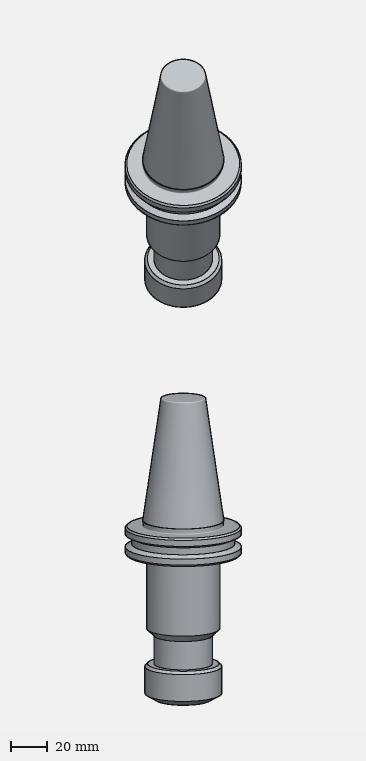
import cadquery as cq

total_height = 168.4
nut_top = 20.0
body_cone_bottom = 35.9
body_cone_top = 39.7
flange_bottom = 81.0
flange_top = 96.8
gauge_height = 100.0
groove_center = 88.9

nut_radius = 21.0
nut_face_radius = 15.0
neck_radius = 16.0
body_radius = 20.0
flange_radius = 63.5 / 2
groove_radius = 28.1
gauge_radius = 22.2
collar_radius = 21.9

groove_floor_width = 3.9
groove_mouth_width = 7.0
taper_ratio = 7 / 24
nut_face_bevel_height = 3.5
nut_top_chamfer = 1.5
flange_chamfer = 1.0
body_fillet = 2.0
tip_fillet = 0.7
collar_fillet = 0.5

taper_length = total_height - gauge_height
tip_radius = gauge_radius - taper_length * taper_ratio / 2


def revolve_profile(points):
    """Turn (radius, height) points into a solid of revolution about Z."""
    profile = cq.Workplane("XZ").polyline(points).close()
    return profile.revolve(360, (0, 0, 0), (0, 1, 0))


def make_nut():
    return revolve_profile([
        (0, 0),
        (nut_face_radius, 0),
        (nut_radius, nut_face_bevel_height),
        (nut_radius, nut_top - nut_top_chamfer),
        (nut_radius - nut_top_chamfer, nut_top),
        (0, nut_top),
    ])


def make_body():
    """Neck and body, flaring into the underside of the flange."""
    profile = (
        cq.Workplane("XZ")
        .moveTo(0, nut_top)
        .lineTo(neck_radius, nut_top)
        .lineTo(neck_radius, body_cone_bottom)
        .lineTo(body_radius, body_cone_top)
        .lineTo(body_radius, flange_bottom - body_fillet)
        .radiusArc((body_radius + body_fillet, flange_bottom), body_fillet)
        .lineTo(0, flange_bottom)
        .close()
    )
    return profile.revolve(360, (0, 0, 0), (0, 1, 0))


def make_flange():
    """Flange with chamfered rims and a gripper groove."""
    floor_half = groove_floor_width / 2
    mouth_half = groove_mouth_width / 2
    return revolve_profile([
        (0, flange_bottom),
        (flange_radius - flange_chamfer, flange_bottom),
        (flange_radius, flange_bottom + flange_chamfer),
        (flange_radius, groove_center - mouth_half),
        (groove_radius, groove_center - floor_half),
        (groove_radius, groove_center + floor_half),
        (flange_radius, groove_center + mouth_half),
        (flange_radius, flange_top - flange_chamfer),
        (flange_radius - flange_chamfer, flange_top),
        (0, flange_top),
    ])


def make_taper():
    """Tapered shank standing on a slightly narrower, filleted collar."""
    collar_profile = (
        cq.Workplane("XZ")
        .moveTo(0, flange_top)
        .lineTo(collar_radius + collar_fillet, flange_top)
        .radiusArc((collar_radius, flange_top + collar_fillet), collar_fillet)
        .lineTo(collar_radius, gauge_height)
        .lineTo(0, gauge_height)
        .close()
    )
    collar = collar_profile.revolve(360, (0, 0, 0), (0, 1, 0))
    shank = revolve_profile([
        (0, gauge_height),
        (gauge_radius, gauge_height),
        (tip_radius, total_height),
        (0, total_height),
    ])
    return collar.union(shank.faces(">Z").edges().fillet(tip_fillet))


result = make_nut().union(make_body()).union(make_flange()).union(make_taper())